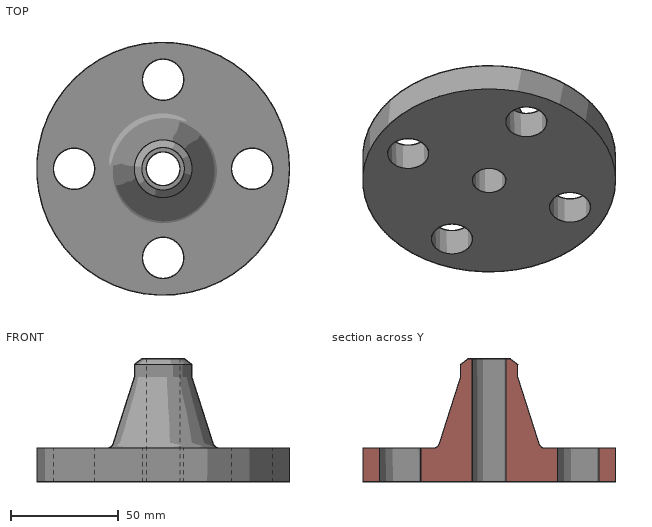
import cadquery as cq

flange_diameter = 117.3
flange_thickness = 15.7

bolt_hole_count = 4
bolt_hole_diameter = 19.0
bolt_circle_diameter = 82.6

overall_height = 57.1
cone_base_diameter = 47.7
cone_top_height = 48.6
neck_diameter = 26.7
tip_diameter = 19.7
bevel_height = 2.7
root_fillet_radius = 3.0
bore_diameter = 15.5


def flange_with_neck():
    """Solid flange and neck, revolved around Z from one half section."""
    half_section = [
        (0, 0),
        (flange_diameter / 2, 0),
        (flange_diameter / 2, flange_thickness),
        (cone_base_diameter / 2, flange_thickness),
        (neck_diameter / 2, cone_top_height),
        (neck_diameter / 2, overall_height - bevel_height),
        (tip_diameter / 2, overall_height),
        (0, overall_height),
    ]
    body = cq.Workplane("XZ").polyline(half_section).close().revolve(360, (0, 0), (0, 1))

    root_edge = cq.selectors.RadiusNthSelector(-2)
    return body.edges(root_edge).fillet(root_fillet_radius)


def bolt_holes():
    """Cutters for the through holes, the first one on the +X axis."""
    return (
        cq.Workplane("XY")
        .polarArray(bolt_circle_diameter / 2, 0, 360, bolt_hole_count)
        .circle(bolt_hole_diameter / 2)
        .extrude(flange_thickness)
    )


def bore():
    """Cutter for the straight bore through flange and neck."""
    return cq.Workplane("XY").circle(bore_diameter / 2).extrude(overall_height)


result = flange_with_neck().cut(bolt_holes()).cut(bore())